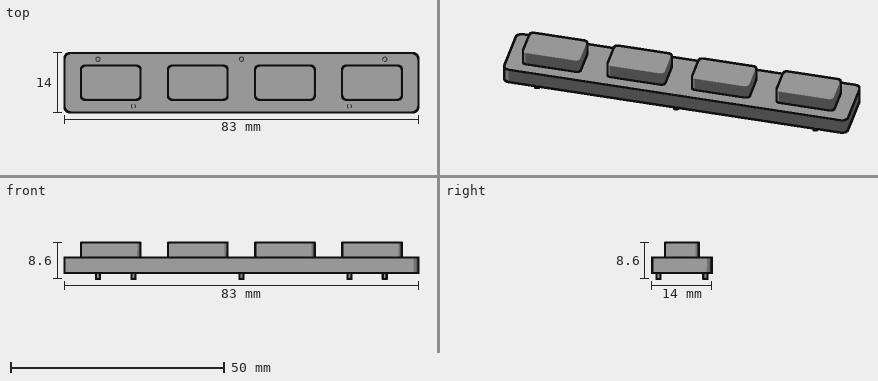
import cadquery as cq

plate_length = 83.0
plate_width = 14.0
plate_thickness = 3.7
plate_corner_radius = 1.5

key_count = 4
key_pitch = 20.4
key_length = 14.0
key_width = 8.0
key_height = 3.5
key_corner_radius = 1.0
key_top_fillet = 0.3

pin_diameter = 1.0
pin_length = 1.4
pin_tip_fillet = 0.2
pin_row_y = 5.5
inner_pin_x = 25.3
outer_pin_x = 33.6
front_pin_x = [-inner_pin_x, inner_pin_x]
rear_pin_x = [-outer_pin_x, 0, outer_pin_x]


def make_plate():
    """Flat plate with rounded vertical corners, bottom face at Z = 0."""
    plate = cq.Workplane("XY").rect(plate_length, plate_width).extrude(plate_thickness)
    return plate.edges("|Z").fillet(plate_corner_radius)


def make_key(x):
    """Raised key centred at x, with rounded corners and a softened top edge."""
    key = cq.Workplane("XY").rect(key_length, key_width).extrude(key_height)
    key = key.edges("|Z").fillet(key_corner_radius)
    key = key.faces(">Z").edges().fillet(key_top_fillet)
    return key.translate((x, 0, plate_thickness))


def make_pin(x, y):
    """Round pin hanging below the plate, with a rounded tip."""
    pin = cq.Workplane("XY").circle(pin_diameter / 2).extrude(-pin_length)
    pin = pin.faces("<Z").edges().fillet(pin_tip_fillet)
    return pin.translate((x, y, 0))


result = make_plate()

first_key_x = -key_pitch * (key_count - 1) / 2
for index in range(key_count):
    result = result.union(make_key(first_key_x + index * key_pitch))

for pin_x in front_pin_x:
    result = result.union(make_pin(pin_x, -pin_row_y))
for pin_x in rear_pin_x:
    result = result.union(make_pin(pin_x, pin_row_y))